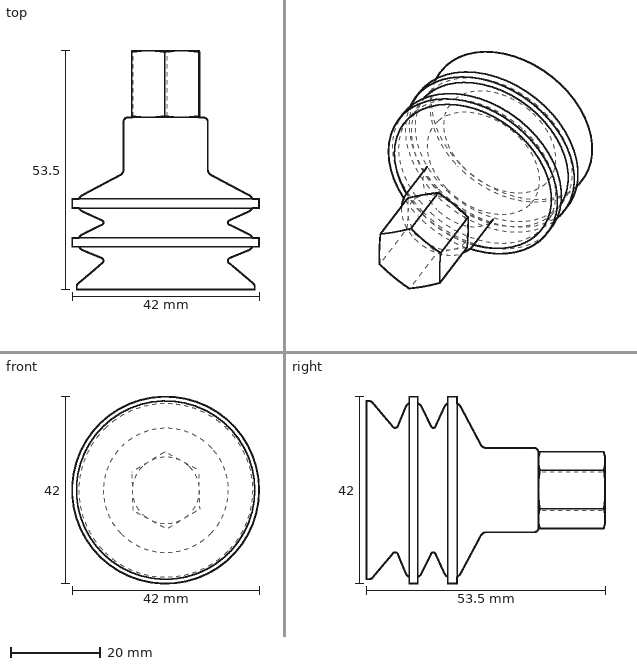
import cadquery as cq
import math

TOTAL_LENGTH = 53.55
HEX_FLATS = 15.0
HALF_SECTOR = 30.0
HEX_TWIST = 1.4
HEX_CHAMFER_ANGLE = 15.0

COLLAR_RADIUS = 18.95 / 2
COLLAR_BACK = 38.6
COLLAR_ROUND = 1.0
FLARE_BACK = 26.9
FLARE_FRONT = 25.7
FLARE_RADIUS = 10.2

RIB_RADIUS = 42.0 / 2
RIB_FOOT_RADIUS = 19.5
SHOULDER_RADIUS = 18.75
BACK_RIB = (20.35, 18.25)
FRONT_RIB = (11.55, 9.6)
BACK_SHOULDER = 0.8
FRONT_SHOULDER = 0.75
CREST_BULGE = 0.08

GROOVE_SIDE_RADIUS = 14.4
GROOVE_FLOOR_RADIUS = 14.0
BACK_GROOVE = (15.55, 15.0, 14.5)
FRONT_GROOVE = (7.05, 6.5, 5.85)

LIP_RADIUS = 40.0 / 2
LIP_EDGE = 0.7
LIP_CONE_END = 1.4
LIP_CONE_RADIUS = 19.65


def add_rib(outline, faces):
    """Continue the outline over a rounded crest carrying a square-edged rib."""
    back, front = faces
    return (
        outline.lineTo(SHOULDER_RADIUS, back + BACK_SHOULDER)
        .tangentArcPoint((RIB_FOOT_RADIUS, back), relative=False)
        .lineTo(RIB_RADIUS, back)
        .lineTo(RIB_RADIUS, front)
        .lineTo(RIB_FOOT_RADIUS, front)
        .threePointArc(
            (
                (RIB_FOOT_RADIUS + SHOULDER_RADIUS) / 2 + CREST_BULGE,
                front - FRONT_SHOULDER / 2,
            ),
            (SHOULDER_RADIUS, front - FRONT_SHOULDER),
        )
    )


def add_groove(outline, places):
    """Continue the outline down a cone and round the bottom of a groove."""
    back, floor, front = places
    return outline.lineTo(GROOVE_SIDE_RADIUS, back).threePointArc(
        (GROOVE_FLOOR_RADIUS, floor), (GROOVE_SIDE_RADIUS, front)
    )


def make_cup():
    """Revolve the collar, bellows and lip about Y."""
    outline = (
        cq.Workplane("XY")
        .moveTo(0, COLLAR_BACK)
        .lineTo(COLLAR_RADIUS - COLLAR_ROUND, COLLAR_BACK)
        .tangentArcPoint((COLLAR_RADIUS, COLLAR_BACK - COLLAR_ROUND), relative=False)
        .lineTo(COLLAR_RADIUS, FLARE_BACK)
        .tangentArcPoint((FLARE_RADIUS, FLARE_FRONT), relative=False)
    )
    outline = add_rib(outline, BACK_RIB)
    outline = add_groove(outline, BACK_GROOVE)
    outline = add_rib(outline, FRONT_RIB)
    outline = add_groove(outline, FRONT_GROOVE)
    outline = (
        outline.lineTo(LIP_CONE_RADIUS, LIP_CONE_END)
        .tangentArcPoint((LIP_RADIUS, LIP_EDGE), relative=False)
        .lineTo(LIP_RADIUS, 0)
        .lineTo(0, 0)
        .close()
    )
    return outline.revolve(360, (0, 0, 0), (0, 1, 0))


def make_hex():
    """Make the hexagon with conically chamfered corners at both ends."""
    flat_radius = HEX_FLATS / 2
    corner_radius = flat_radius / math.cos(math.radians(HALF_SECTOR))
    chamfer = (corner_radius - flat_radius) * math.tan(math.radians(HEX_CHAMFER_ANGLE))
    prism = (
        cq.Workplane("XZ", origin=(0, TOTAL_LENGTH, 0))
        .polygon(6, 2 * corner_radius)
        .extrude(TOTAL_LENGTH - COLLAR_BACK)
        .rotate((0, 0, 0), (0, 1, 0), -HALF_SECTOR - HEX_TWIST)
    )
    envelope = (
        cq.Workplane("XY")
        .moveTo(0, COLLAR_BACK)
        .lineTo(flat_radius, COLLAR_BACK)
        .lineTo(corner_radius, COLLAR_BACK + chamfer)
        .lineTo(corner_radius, TOTAL_LENGTH - chamfer)
        .lineTo(flat_radius, TOTAL_LENGTH)
        .lineTo(0, TOTAL_LENGTH)
        .close()
        .revolve(360, (0, 0, 0), (0, 1, 0))
    )
    return prism.intersect(envelope)


result = make_cup().union(make_hex())